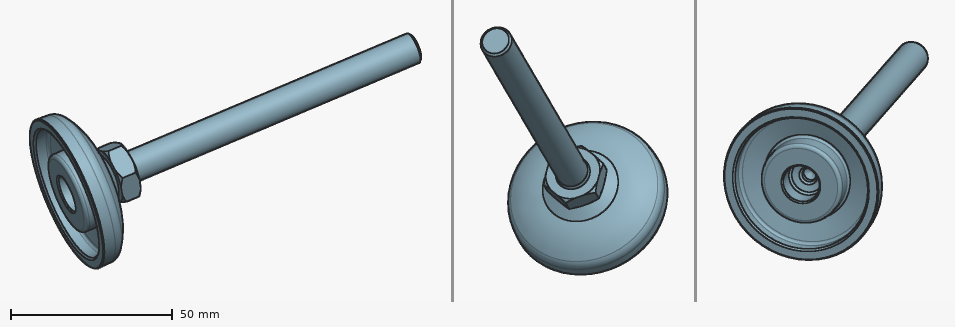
import cadquery as cq
import math


total_length = 121.5
foot_diameter = 49.9
foot_radius = foot_diameter / 2

bottom_chamfer = 0.4
wall_top_radius = 24.8
wall_top = 4.1
shoulder_mid_radius = 24.4
shoulder_mid = 6.0
shoulder_radius = 23.5
shoulder_top = 7.2
dome_mid_radius = 18.1
dome_mid = 10.3
crown_radius = 12.0
crown_base = 11.8
crown_mid_radius = 9.2
crown_mid = 13.5
seat_radius = 6.2
seat_height = 15.1

hollow_radius = 21.4
hollow_chamfer = 0.6
hollow_wall_top = 4.0
hollow_fillet = 1.0
boss_radius = 13.0
boss_fillet = 1.2
root_fillet = 0.9
boss_root = 6.1

bore_radius = 5.8
bore_chamfer = 0.5
bore_depth = 6.5
spigot_radius = 5.1
bore_end = bore_depth + bore_radius - spigot_radius

dimple_radius = 2.9
dimple_depth = 0.7
centre_radius = 2.2
centre_chamfer = dimple_radius - centre_radius
centre_depth = 2.4
centre_tip_depth = 1.3

hex_width = 17.0
hex_height = 6.4
hex_rotation = 45.0
hex_face_radius = 8.6
hex_chamfer_height = 1.0
rod_radius = 5.0
rod_chamfer = 0.7
neck_radius = 5.5
neck_height = 1.1
hex_corner_radius = hex_width / math.sqrt(3)
hex_top = seat_height + hex_height

ARC_MID = math.sqrt(0.5)


def turn(profile):
    """Revolve a closed radius-height outline about the Y axis."""
    return profile.close().revolve(360, (0, 0, 0), (0, 1, 0))


def make_foot():
    hollow_top = hollow_wall_top + hollow_fillet
    hollow_centre_radius = hollow_radius - hollow_fillet
    root_centre_radius = boss_radius + root_fillet
    root_top = boss_root + root_fillet
    boss_face_radius = boss_radius - boss_fillet
    profile = (
        cq.Workplane("XY")
        .moveTo(foot_radius - bottom_chamfer, 0)
        .lineTo(foot_radius, bottom_chamfer)
        .lineTo(wall_top_radius, wall_top)
        .threePointArc((shoulder_mid_radius, shoulder_mid), (shoulder_radius, shoulder_top))
        .threePointArc((dome_mid_radius, dome_mid), (crown_radius, crown_base))
        .threePointArc((crown_mid_radius, crown_mid), (seat_radius, seat_height))
        .lineTo(spigot_radius, seat_height)
        .lineTo(spigot_radius, bore_end)
        .lineTo(bore_radius, bore_depth)
        .lineTo(bore_radius, bore_chamfer)
        .lineTo(bore_radius + bore_chamfer, 0)
        .lineTo(boss_face_radius, 0)
        .threePointArc(
            (boss_face_radius + boss_fillet * ARC_MID, boss_fillet * (1 - ARC_MID)),
            (boss_radius, boss_fillet),
        )
        .lineTo(boss_radius, boss_root)
        .threePointArc(
            (root_centre_radius - root_fillet * ARC_MID, boss_root + root_fillet * ARC_MID),
            (root_centre_radius, root_top),
        )
        .lineTo(hollow_centre_radius, hollow_top)
        .threePointArc(
            (
                hollow_centre_radius + hollow_fillet * ARC_MID,
                hollow_wall_top + hollow_fillet * ARC_MID,
            ),
            (hollow_radius, hollow_wall_top),
        )
        .lineTo(hollow_radius, hollow_chamfer)
        .lineTo(hollow_radius + hollow_chamfer, 0)
    )
    return turn(profile)


def make_hexagon():
    """Hexagonal prism along Y with both ends chamfered by a turned envelope."""
    corners = []
    for i in range(6):
        angle = math.radians(hex_rotation + 60 * i)
        corners.append((hex_corner_radius * math.cos(angle), hex_corner_radius * math.sin(angle)))
    prism = (
        cq.Workplane("XZ", origin=(0, seat_height, 0))
        .polyline(corners)
        .close()
        .extrude(-hex_height)
    )
    envelope = turn(
        cq.Workplane("XY")
        .moveTo(0, seat_height)
        .lineTo(hex_face_radius, seat_height)
        .lineTo(hex_corner_radius, seat_height + hex_chamfer_height)
        .lineTo(hex_corner_radius, hex_top - hex_chamfer_height)
        .lineTo(hex_face_radius, hex_top)
        .lineTo(0, hex_top)
    )
    return prism.intersect(envelope)


def make_stud():
    dimple_top = bore_end + dimple_depth
    centre_top = dimple_top + centre_depth
    shaft = turn(
        cq.Workplane("XY")
        .moveTo(0, centre_top + centre_tip_depth)
        .lineTo(centre_radius, centre_top)
        .lineTo(centre_radius, dimple_top + centre_chamfer)
        .lineTo(dimple_radius, dimple_top)
        .lineTo(spigot_radius, bore_end)
        .lineTo(spigot_radius, hex_top)
        .lineTo(neck_radius, hex_top)
        .lineTo(rod_radius, hex_top + neck_height)
        .lineTo(rod_radius, total_length - rod_chamfer)
        .lineTo(rod_radius - rod_chamfer, total_length)
        .lineTo(0, total_length)
    )
    return shaft.union(make_hexagon())


foot = make_foot()
stud = make_stud()
result = cq.Compound.makeCompound([foot.val(), stud.val()])